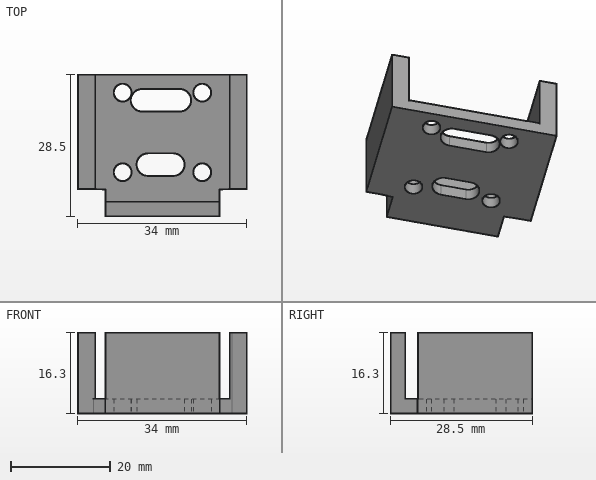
import cadquery as cq

width = 34.0
depth = 28.53
height = 16.3

floor_thickness = 3.0
side_wall_thickness = 3.5
side_wall_length = 23.02
front_wall_width = 23.0
front_wall_thickness = 3.0

shoulder_inset = 3.05
shoulder_drop = 0.1

hole_diameter = 3.55
hole_spacing = 16.0
hole_back_margin = 3.6

slot_width = 4.5
slots = [
    (12.1, -0.3, 5.15),
    (9.62, -0.37, 18.1),
]

half_width = width / 2
half_tongue = front_wall_width / 2
shoulder_x = half_width - shoulder_inset
shoulder_slope = shoulder_drop / (shoulder_x - half_tongue)


def make_floor():
    """Plate with full-width back and a narrower tongue at the front."""
    right_edge = [
        (half_width, 0),
        (half_width, -side_wall_length),
        (shoulder_x, -side_wall_length),
        (half_tongue, -side_wall_length - shoulder_drop),
        (half_tongue, -depth),
    ]
    left_edge = [(-x, y) for x, y in reversed(right_edge)]
    return cq.Workplane("XY").polyline(right_edge + left_edge).close().extrude(floor_thickness)


def make_left_wall():
    return (
        cq.Workplane("XY")
        .box(side_wall_thickness, side_wall_length, height, centered=False)
        .translate((-half_width, -side_wall_length, 0))
    )


def make_right_wall():
    """Side wall whose front end follows the shoulder slant near its inner face."""
    inner_x = half_width - side_wall_thickness
    inner_drop = shoulder_slope * (shoulder_x - inner_x)
    outline = [
        (half_width, 0),
        (half_width, -side_wall_length),
        (shoulder_x, -side_wall_length),
        (inner_x, -side_wall_length - inner_drop),
        (inner_x, 0),
    ]
    return cq.Workplane("XY").polyline(outline).close().extrude(height)


def make_front_wall():
    return (
        cq.Workplane("XY")
        .box(front_wall_width, front_wall_thickness, height, centered=False)
        .translate((-half_tongue, -depth, 0))
    )


def make_round_holes():
    return (
        cq.Workplane("XY")
        .center(0, -hole_back_margin - hole_spacing / 2)
        .rarray(hole_spacing, hole_spacing, 2, 2)
        .circle(hole_diameter / 2)
        .extrude(floor_thickness)
    )


def make_slot(length, center_x, back_distance):
    return (
        cq.Workplane("XY")
        .center(center_x, -back_distance)
        .slot2D(length, slot_width)
        .extrude(floor_thickness)
    )


result = make_floor().union(make_left_wall()).union(make_right_wall()).union(make_front_wall())
result = result.cut(make_round_holes())
for slot in slots:
    result = result.cut(make_slot(*slot))